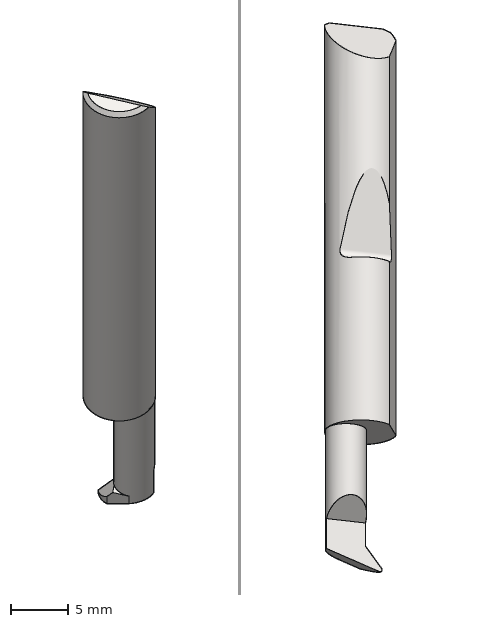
import cadquery as cq
import math

shank_diameter = 6.35
shank_radius = shank_diameter / 2
shank_length = 38.1
end_chamfer = 0.38
end_bevel_angle = 45.0
end_bevel_edge_y = -1.36

flat_distance = 2.82
flat_direction = 150.0

notch_bottom_z = 15.1
notch_depth = 1.3
notch_ramp_angle = 10.0
notch_corner_radius = 0.8

neck_radius = 1.8
neck_center_x = shank_radius - neck_radius
neck_ramp_start_z = -6.55
neck_ramp_angle = 45.0

tip_x = -1.95
tip_z = -12.71
nose_radius = 0.2
head_top_z = -10.37
head_proud_step = 0.015
head_depth = neck_radius + head_proud_step
head_end_overlap = 0.1
head_end_x = neck_center_x + head_end_overlap
back_edge_angle = 52.0
front_edge_angle = 18.0
back_clearance_angle = 8.0
front_clearance_angle = 10.5
tip_relief_radius = 4.5
relief_corner_x = -0.53

oversize = 2 * shank_diameter


def tangent(angle):
    return math.tan(math.radians(angle))


def yz_prism(outline):
    """Closed (Y, Z) outline turned into a cutter passing through in X."""
    return outline.close().extrude(oversize, both=True)


def make_shank():
    blank = cq.Workplane("XY").circle(shank_radius).extrude(shank_length)
    return blank.faces(">Z").chamfer(end_chamfer)


def flat_cutter():
    block = cq.Workplane("XY").box(
        oversize, oversize, shank_length, centered=(False, True, False)
    )
    block = block.translate((flat_distance, 0, 0))
    return block.rotate((0, 0, 0), (0, 0, 1), flat_direction)


def end_bevel_cutter():
    drop = oversize * tangent(end_bevel_angle)
    outline = (
        cq.Workplane("YZ")
        .moveTo(end_bevel_edge_y, shank_length)
        .lineTo(end_bevel_edge_y + oversize, shank_length)
        .lineTo(end_bevel_edge_y + oversize, shank_length - drop)
    )
    return yz_prism(outline)


def notch_cutter():
    """Square lower shoulder, rounded floor, then a shallow ramp out to the surface."""
    ramp = math.radians(notch_ramp_angle)
    arc_y = shank_radius - notch_depth + notch_corner_radius
    arc_z = notch_bottom_z + notch_corner_radius
    arc_middle = (math.pi - ramp + 1.5 * math.pi) / 2

    def arc_point(angle):
        return (
            arc_y + notch_corner_radius * math.cos(angle),
            arc_z + notch_corner_radius * math.sin(angle),
        )

    ramp_start = arc_point(math.pi - ramp)
    outer_y = shank_radius + notch_depth
    ramp_end_z = ramp_start[1] + (outer_y - ramp_start[0]) / math.tan(ramp)
    outline = (
        cq.Workplane("YZ")
        .moveTo(outer_y, notch_bottom_z)
        .lineTo(arc_y, notch_bottom_z)
        .threePointArc(arc_point(arc_middle), ramp_start)
        .lineTo(outer_y, ramp_end_z)
    )
    return yz_prism(outline)


def make_neck():
    return cq.Workplane("XY").center(neck_center_x, 0).circle(neck_radius).extrude(tip_z)


def rake_cutter():
    """Removes the +Y half of the neck below the ramp, leaving the rake face at Y = 0."""
    ramp_inner_z = neck_ramp_start_z - neck_radius * tangent(neck_ramp_angle)
    outline = (
        cq.Workplane("YZ")
        .moveTo(0, tip_z)
        .lineTo(0, ramp_inner_z)
        .lineTo(neck_radius, neck_ramp_start_z)
        .lineTo(oversize, neck_ramp_start_z)
        .lineTo(oversize, tip_z)
    )
    return yz_prism(outline)


def nose_apex():
    """Sharp (X, Z) corner of the back and front edges, before the nose is rounded."""
    half_angle = math.radians(back_edge_angle - front_edge_angle) / 2
    bisector = math.radians(back_edge_angle + front_edge_angle) / 2
    distance = nose_radius / math.sin(half_angle)
    center_x = tip_x + nose_radius
    center_z = tip_z + nose_radius
    return center_x - distance * math.cos(bisector), center_z - distance * math.sin(bisector)


apex_x, apex_z = nose_apex()


def make_head():
    """Wedge with a rounded nose, standing on the rake plane and reaching toward -Y."""
    back_top_x = apex_x + (head_top_z - apex_z) / tangent(back_edge_angle)
    front_end_z = apex_z + (head_end_x - apex_x) * tangent(front_edge_angle)
    wedge = (
        cq.Workplane("XZ")
        .moveTo(apex_x, apex_z)
        .lineTo(head_end_x, front_end_z)
        .lineTo(head_end_x, head_top_z)
        .lineTo(back_top_x, head_top_z)
        .close()
        .extrude(head_depth)
    )
    return wedge.edges("|Y").edges("<X").fillet(nose_radius)


def clearance_cutter(edge_angle, clearance_angle, side):
    """Block on one side (+1 above, -1 below) of a plane through a cutting edge.

    The plane holds the edge on the rake face and recedes into the head toward -Y.
    """
    edge = math.radians(edge_angle)
    clearance = math.radians(clearance_angle)
    normal = (
        -side * math.sin(edge) * math.cos(clearance),
        -math.sin(clearance),
        side * math.cos(edge) * math.cos(clearance),
    )
    edge_direction = (math.cos(edge), 0, math.sin(edge))
    plane = cq.Plane(origin=(apex_x, 0, apex_z), xDir=edge_direction, normal=normal)
    return cq.Workplane(plane).rect(2 * oversize, 2 * oversize).extrude(oversize)


def tip_relief_cutter():
    """Upright cutter that rounds the tip from the nose back to the head's -Y face."""
    return (
        cq.Workplane("XY", origin=(0, 0, tip_z))
        .moveTo(tip_x, 0)
        .radiusArc((relief_corner_x, -head_depth), -tip_relief_radius)
        .lineTo(relief_corner_x, -oversize)
        .lineTo(tip_x - oversize, -oversize)
        .lineTo(tip_x - oversize, 0)
        .close()
        .extrude(head_top_z - tip_z)
    )


shank = make_shank().cut(flat_cutter()).cut(end_bevel_cutter()).cut(notch_cutter())
back_cutter = clearance_cutter(back_edge_angle, back_clearance_angle, 1)
front_cutter = clearance_cutter(front_edge_angle, front_clearance_angle, -1)
head = make_head().cut(back_cutter).cut(tip_relief_cutter())
neck = make_neck().cut(rake_cutter())
tool = neck.union(head).cut(front_cutter)
result = shank.union(tool)